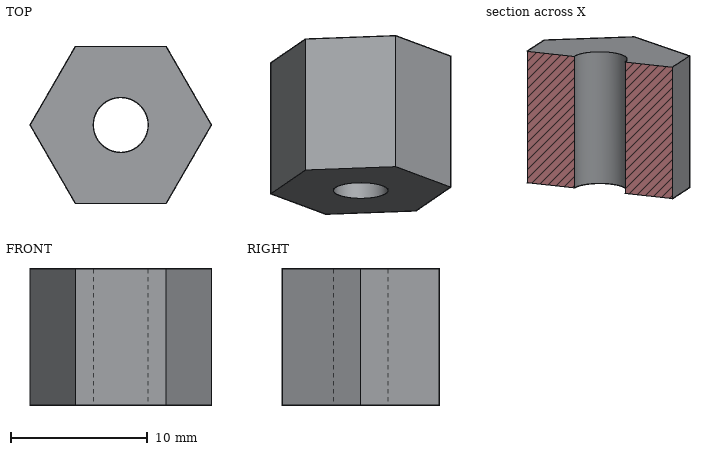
import cadquery as cq

width_across_corners = 13.28
height = 10.0
bore_diameter = 4.0

hexagon_body = cq.Workplane("XY").polygon(6, width_across_corners).extrude(height)

result = hexagon_body.faces(">Z").workplane().hole(bore_diameter)